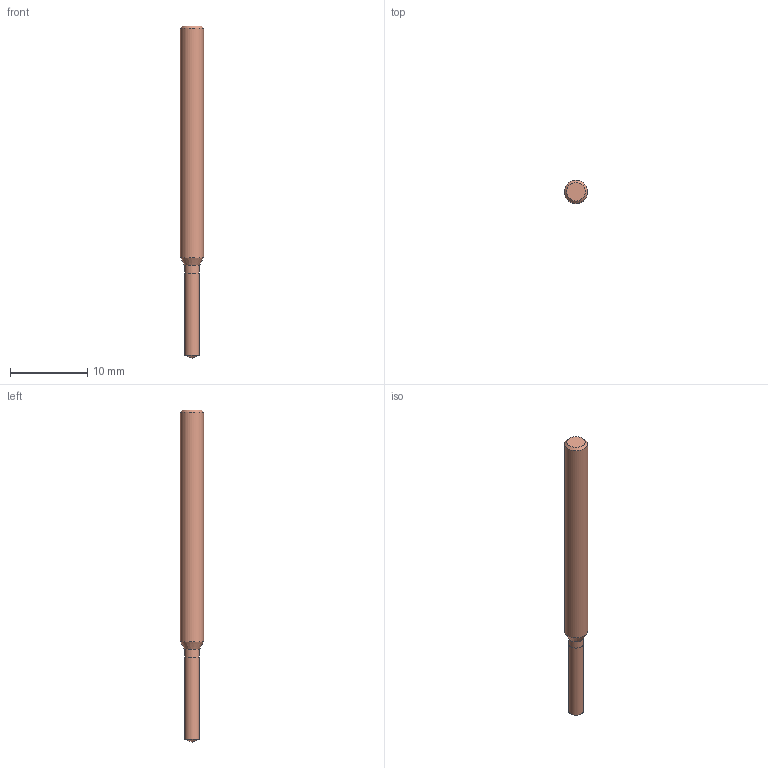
import cadquery as cq
import math

overall_length = 43.0
shank_diameter = 3.0
shank_length = 30.0
shank_chamfer = 0.3
cutting_diameter = 1.91
cutting_length = 11.0
point_angle = 140.0
taper_length = 1.0

shank_radius = shank_diameter / 2
cutting_radius = cutting_diameter / 2
point_height = cutting_radius / math.tan(math.radians(point_angle / 2))
shank_bottom = overall_length - shank_length
neck_top = shank_bottom - taper_length


def turned_body(profile):
    """Revolve (radius, height) points around Z, starting from the -Y side."""
    outline = [(-radius, height) for radius, height in profile]
    return cq.Workplane("YZ").polyline(outline).close().revolve(360, (0, 0), (0, 1))


def make_cutting_part():
    """Plain cylinder with a conical drill point at its lower end."""
    return turned_body([
        (0, 0),
        (cutting_radius, point_height),
        (cutting_radius, cutting_length),
        (0, cutting_length),
    ])


def make_shank():
    """Neck, conical taper and chamfered shank above the cutting part."""
    return turned_body([
        (0, cutting_length),
        (cutting_radius, cutting_length),
        (cutting_radius, neck_top),
        (shank_radius, shank_bottom),
        (shank_radius, overall_length - shank_chamfer),
        (shank_radius - shank_chamfer, overall_length),
        (0, overall_length),
    ])


cutting_part = make_cutting_part()
shank = make_shank()

result = cq.Compound.makeCompound([cutting_part.val(), shank.val()])